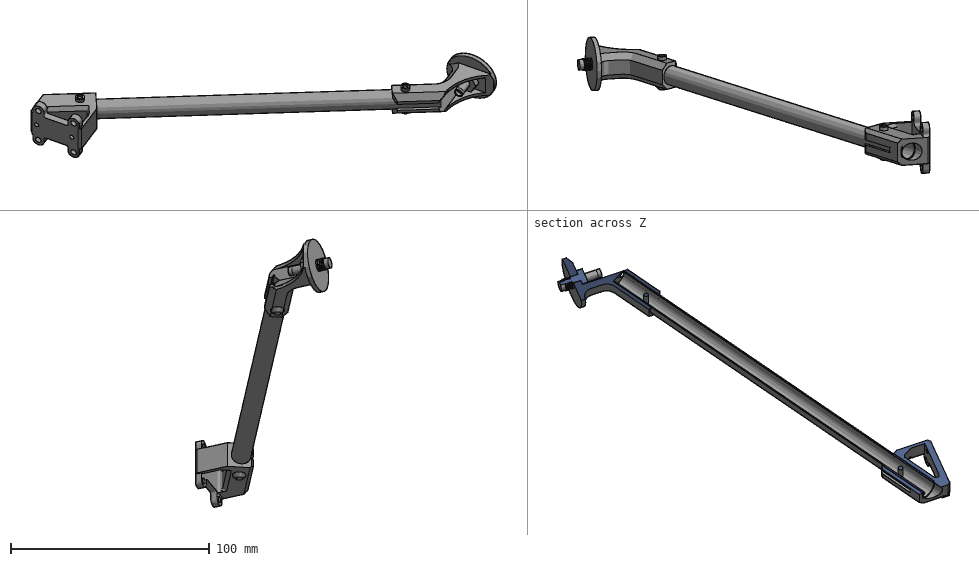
import cadquery as cq
import math


TILT = 30.0
AXIS_Y = 9.5
TUBE_LENGTH = 200.0
TUBE_RADIUS = 10.0 / 2
TUBE_BORE_RADIUS = 4.3
TUBE_START = 3.0

COS_TILT = math.cos(math.radians(TILT))
SIN_TILT = math.sin(math.radians(TILT))
TUBE_END = TUBE_START + TUBE_LENGTH

BODY_THICKNESS = 13.9
HALF_THICKNESS = BODY_THICKNESS / 2
CUT_THROUGH = 2 * BODY_THICKNESS

CLAMP_HEAD_RADIUS = 4.5 / 2
CLAMP_HEAD_HEIGHT = 1.85
CLAMP_SHANK_RADIUS = 1.27
CLAMP_SOCKET_WIDTH = 3.1
CLAMP_SOCKET_DEPTH = 1.2
BOSS_BASE_RADIUS = 3.5
BOSS_TIP_RADIUS = 1.66
BOSS_HEIGHT = 1.85
BRACKET_SCREW_STATION = 21.0
HEAD_SCREW_STATION = 185.1
CLAMP_STATIONS = (BRACKET_SCREW_STATION, HEAD_SCREW_STATION)

BRACKET_WIDTH = 28.8
BRACKET_HEIGHT = 28.8
BRACKET_MOUTH = 29.2
BRACKET_HALF_DEPTH = 6.5
BRACKET_CHAMFER = 2.0
BRACKET_SLIT_LENGTH = 19.5
BRACKET_SLIT_WIDTH = 2.7
LIP_HOLE_RADIUS = 4.5
PLATE_THICKNESS = 3.5
PLATE_EDGE_CHAMFER = 1.4
EAR_PITCH = 20.0
EAR_LEFT_X = 4.9
EAR_RADIUS = 3.1
EAR_TOP = 13.3
EAR_ROOT_FILLET = 1.2
EAR_HOLE_RADIUS = 1.5
PEG_LEFT_X = 4.0
PEG_HOLE_RADIUS = 1.2
PEG_HOLE_DEPTH = 4.9
WINDOW_LEFT_X = 6.5
WINDOW_RIGHT_X = 27.0
WINDOW_END_STATION = 24.0
WINDOW_BEND_FILLET = 3.0
WINDOW_CORNER_FILLET = 1.0

HEAD_MOUTH = 178.5
HEAD_HALF_DEPTH = 6.0
HEAD_CHAMFER = 3.1
HEAD_SLIT_WIDTH = 4.1
MOUTH_BEVEL_LENGTH = 2.5
MOUTH_BEVEL_DEPTH = 3.1
NECK_LEFT_X = 173.8
HEEL_X = 179.3
ELBOW_RADIUS = 6.7
FLARE_RADIUS = 4.7
HEEL_FILLET = 3.0
BACK_START_Y = 109.5
BACK_MIDDLE = (185.5, 124.0)
BACK_END_X = 195.3
DISC_RADIUS = 13.5
DISC_THICKNESS = 2.3
DISC_TOP_Y = 133.9
OVERALL_LENGTH = 195.7
DISC_X = OVERALL_LENGTH - DISC_RADIUS
KNOB_POCKET_WIDTH = 10.2
KNOB_POCKET_BOTTOM_Y = 101.8
KNOB_POCKET_TOP_Y = 129.5

THREAD_RADIUS = 3.1
THREAD_TIP_RADIUS = 2.7
THREAD_END_Y = 140.3
THREAD_TIP_LENGTH = 2.3
GROOVE_COUNT = 4
GROOVE_DEPTH = 0.4
KNOB_WIDTH = 10.0
KNOB_HEIGHT = 3.1
STEM_RADIUS = 4.5 / 2
STEM_BOTTOM_Y = 118.2
STEM_SOCKET_RADIUS = 1.66
STEM_SOCKET_DEPTH = 2.0

DISC_BOTTOM_Y = DISC_TOP_Y - DISC_THICKNESS
DISC_MIDDLE_Y = DISC_TOP_Y - DISC_THICKNESS / 2
FLARE_START_Y = DISC_BOTTOM_Y - FLARE_RADIUS


def on_axis(station, offset=0.0):
    """X and Y of a point at a station along the tube axis, offset towards the upper left."""
    return (
        station * COS_TILT - offset * SIN_TILT,
        AXIS_Y + station * SIN_TILT + offset * COS_TILT,
    )


def y_beside_axis(x, offset):
    """Y, at a given X, of the line parallel to the tube axis at the given offset."""
    return AXIS_Y + x * SIN_TILT / COS_TILT + offset / COS_TILT


def axial_rod(radius, start, end):
    """Cylinder along the tube axis."""
    plane = cq.Plane(origin=(*on_axis(start), 0), xDir=(0, 0, 1), normal=(COS_TILT, SIN_TILT, 0))
    return cq.Workplane(plane).circle(radius).extrude(end - start)


def tilted_box(start, end, low, high, width):
    """Box along the tube axis between two stations and two offsets, centred on Z = 0."""
    corners = [on_axis(start, low), on_axis(end, low), on_axis(end, high), on_axis(start, high)]
    return cq.Workplane("XY").polyline(corners).close().extrude(width / 2, both=True)


def upward_rod(x, z, radius, bottom, top):
    """Cylinder along Y."""
    plane = cq.Plane(origin=(x, bottom, z), xDir=(1, 0, 0), normal=(0, 1, 0))
    return cq.Workplane(plane).circle(radius).extrude(top - bottom)


def clamp_shank(station):
    """Screw shank along Z through the tube axis, ending level with the body's underside."""
    x, y = on_axis(station)
    return (
        cq.Workplane("XY", origin=(x, y, -HALF_THICKNESS))
        .circle(CLAMP_SHANK_RADIUS)
        .extrude(BODY_THICKNESS)
    )


def clamp_boss(station):
    """Conical boss under a clamp screw."""
    x, y = on_axis(station)
    cone = cq.Solid.makeCone(
        BOSS_BASE_RADIUS,
        BOSS_TIP_RADIUS,
        BOSS_HEIGHT,
        cq.Vector(x, y, -HALF_THICKNESS),
        cq.Vector(0, 0, -1),
    )
    return cq.Workplane(cone)


def make_clamp_screw(station):
    x, y = on_axis(station)
    head = (
        cq.Workplane("XY", origin=(x, y, HALF_THICKNESS))
        .circle(CLAMP_HEAD_RADIUS)
        .extrude(CLAMP_HEAD_HEIGHT)
        .faces(">Z")
        .workplane()
        .polygon(6, CLAMP_SOCKET_WIDTH)
        .cutBlind(-CLAMP_SOCKET_DEPTH)
    )
    return head.union(clamp_shank(station))


def make_tube():
    tube = axial_rod(TUBE_RADIUS, TUBE_START, TUBE_END)
    tube = tube.cut(axial_rod(TUBE_BORE_RADIUS, TUBE_START, TUBE_END))
    for station in CLAMP_STATIONS:
        tube = tube.cut(clamp_shank(station))
    return tube


def bracket_ears():
    """Foot plate with four rounded ears, their roots filleted."""
    plate = cq.Workplane("XY").box(
        BRACKET_WIDTH, PLATE_THICKNESS, BODY_THICKNESS, centered=(False, False, True)
    )
    ear_length = 2 * EAR_TOP
    for x in (EAR_LEFT_X, EAR_LEFT_X + EAR_PITCH):
        ear_pair = (
            cq.Workplane("XZ", origin=(x, PLATE_THICKNESS, 0))
            .slot2D(ear_length, 2 * EAR_RADIUS, 90)
            .extrude(PLATE_THICKNESS)
        )
        plate = plate.union(ear_pair)
    clear_of_corners = EAR_ROOT_FILLET / 2
    last_ear_x = EAR_LEFT_X + EAR_PITCH
    roots = cq.selectors.BoxSelector(
        (clear_of_corners, 0, -EAR_PITCH / 2), (last_ear_x, PLATE_THICKNESS, EAR_PITCH / 2)
    )
    return plate.edges("|Y").edges(roots).fillet(EAR_ROOT_FILLET)


def bracket_window():
    """Roughly triangular window under the tube housing, bevelled where it meets both flat sides."""
    peak = on_axis(WINDOW_END_STATION, -BRACKET_HALF_DEPTH)
    corners = [
        (WINDOW_LEFT_X, PLATE_THICKNESS),
        (WINDOW_RIGHT_X, PLATE_THICKNESS),
        (WINDOW_RIGHT_X, peak[1] - (WINDOW_RIGHT_X - peak[0]) * COS_TILT / SIN_TILT),
        peak,
        (WINDOW_LEFT_X, y_beside_axis(WINDOW_LEFT_X, -BRACKET_HALF_DEPTH)),
    ]
    window = cq.Workplane("XY").polyline(corners).close().extrude(HALF_THICKNESS, both=True)
    bend = cq.selectors.NearestToPointSelector((*corners[2], 0))
    window = window.edges("|Z").edges(bend).fillet(WINDOW_BEND_FILLET)
    window = window.edges("|Z").edges(">Y or <X").fillet(WINDOW_CORNER_FILLET)
    bevel_rise = BRACKET_CHAMFER / COS_TILT
    for side in (-1, 1):
        outline = window.faces(">Z" if side > 0 else "<Z").wires().val()
        inner_outline = outline.translate(cq.Vector(0, 0, -side * BRACKET_CHAMFER))
        sweep = cq.Vector(0, bevel_rise, side * BRACKET_CHAMFER)
        window = window.union(cq.Workplane(cq.Solid.extrudeLinear(inner_outline, [], sweep)))
    return window


def make_bracket():
    outline = [
        (0, 0),
        (BRACKET_WIDTH, 0),
        on_axis(BRACKET_MOUTH, (BRACKET_MOUTH * COS_TILT - BRACKET_WIDTH) / SIN_TILT),
        on_axis(BRACKET_MOUTH, BRACKET_HALF_DEPTH),
        (0, y_beside_axis(0, BRACKET_HALF_DEPTH)),
    ]
    body = cq.Workplane("XY").polyline(outline).close().extrude(HALF_THICKNESS, both=True)
    slope_middle = on_axis(BRACKET_MOUTH / 2, BRACKET_HALF_DEPTH)
    slope_face = body.faces(cq.selectors.NearestToPointSelector((*slope_middle, 0)))
    body = slope_face.edges("not |Z").chamfer(BRACKET_CHAMFER)

    above_top = cq.Workplane("XY").box(
        BRACKET_WIDTH, BRACKET_HEIGHT, CUT_THROUGH, centered=(False, False, True)
    )
    body = body.cut(above_top.translate((0, BRACKET_HEIGHT, 0)))

    body = body.cut(bracket_window()).union(bracket_ears())

    for corner_x, inward in ((0, 1), (BRACKET_WIDTH, -1)):
        bevel = [
            (corner_x, 0),
            (corner_x + inward * PLATE_EDGE_CHAMFER, 0),
            (corner_x, PLATE_EDGE_CHAMFER),
        ]
        body = body.cut(cq.Workplane("XY").polyline(bevel).close().extrude(CUT_THROUGH, both=True))

    for x in (EAR_LEFT_X, EAR_LEFT_X + EAR_PITCH):
        for z in (-EAR_PITCH / 2, EAR_PITCH / 2):
            body = body.cut(upward_rod(x, z, EAR_HOLE_RADIUS, 0, PLATE_THICKNESS))
    for x in (PEG_LEFT_X, PEG_LEFT_X + EAR_PITCH):
        body = body.cut(upward_rod(x, 0, PEG_HOLE_RADIUS, 0, PEG_HOLE_DEPTH))

    body = body.union(clamp_boss(BRACKET_SCREW_STATION))
    body = body.cut(axial_rod(LIP_HOLE_RADIUS, -BRACKET_HALF_DEPTH, BRACKET_MOUTH))
    body = body.cut(axial_rod(TUBE_RADIUS, TUBE_START, BRACKET_MOUTH))
    slit_start = BRACKET_MOUTH - BRACKET_SLIT_LENGTH
    slit = tilted_box(slit_start, BRACKET_MOUTH, 0, 2 * BRACKET_HALF_DEPTH, BRACKET_SLIT_WIDTH)
    return body.cut(slit).cut(clamp_shank(BRACKET_SCREW_STATION))


def blend_point(radius, start_y, turn):
    """Point on an arc that leaves the neck's left side at start_y and bends left."""
    return (
        NECK_LEFT_X - radius * (1 - math.cos(turn)),
        start_y + radius * math.sin(turn),
    )


def head_arm():
    """Clamp sleeve, elbow and flared neck, with chamfers along the sleeve and the left of the neck."""
    elbow_turn = math.radians(90 - TILT)
    elbow_top_y = y_beside_axis(NECK_LEFT_X, HEAD_HALF_DEPTH) + ELBOW_RADIUS * math.tan(elbow_turn / 2)
    quarter_turn = math.radians(90)

    def elbow_point(turn):
        return blend_point(ELBOW_RADIUS, elbow_top_y, -turn)

    def flare_point(turn):
        return blend_point(FLARE_RADIUS, FLARE_START_Y, turn)

    surplus_top_y = DISC_TOP_Y + HEAD_CHAMFER
    heel_y = y_beside_axis(HEEL_X, -HEAD_HALF_DEPTH)
    arm = (
        cq.Workplane("XY")
        .moveTo(*on_axis(HEAD_MOUTH, -HEAD_HALF_DEPTH))
        .lineTo(HEEL_X, heel_y)
        .lineTo(HEEL_X, BACK_START_Y)
        .threePointArc(BACK_MIDDLE, (BACK_END_X, DISC_BOTTOM_Y))
        .lineTo(BACK_END_X, surplus_top_y)
        .lineTo(NECK_LEFT_X - FLARE_RADIUS, surplus_top_y)
        .lineTo(NECK_LEFT_X - FLARE_RADIUS, DISC_BOTTOM_Y)
        .threePointArc(flare_point(quarter_turn / 2), flare_point(0))
        .lineTo(*elbow_point(0))
        .threePointArc(elbow_point(elbow_turn / 2), elbow_point(elbow_turn))
        .lineTo(*on_axis(HEAD_MOUTH, HEAD_HALF_DEPTH))
        .close()
        .extrude(HALF_THICKNESS, both=True)
    )

    left_rim_middles = [
        on_axis((HEAD_MOUTH + TUBE_END) / 2, HEAD_HALF_DEPTH),
        elbow_point(elbow_turn / 2),
        (NECK_LEFT_X, (elbow_top_y + FLARE_START_Y) / 2),
        flare_point(quarter_turn / 2),
    ]
    lower_rim_middle = on_axis((HEAD_MOUTH + TUBE_END) / 2, -HEAD_HALF_DEPTH)
    rims = []
    for x, y in [*left_rim_middles, lower_rim_middle]:
        for z in (-HALF_THICKNESS, HALF_THICKNESS):
            rim = cq.selectors.NearestToPointSelector((x, y, z))
            rims.append(arm.edges("#Z").edges(rim).val())
    arm = arm.newObject(rims).chamfer(HEAD_CHAMFER)
    heel = cq.selectors.NearestToPointSelector((HEEL_X, heel_y, 0))
    arm = arm.edges("|Z").edges(heel).fillet(HEEL_FILLET)

    neck_top = cq.Workplane("XY").box(
        4 * DISC_RADIUS, BODY_THICKNESS, CUT_THROUGH, centered=(True, False, True)
    ).translate((DISC_X, FLARE_START_Y, 0))
    arm = arm.cut(neck_top.cut(upward_rod(DISC_X, 0, DISC_RADIUS, 0, DISC_MIDDLE_Y)))

    bevel = [
        on_axis(HEAD_MOUTH, MOUTH_BEVEL_DEPTH - HEAD_HALF_DEPTH),
        on_axis(HEAD_MOUTH, -HEAD_HALF_DEPTH),
        on_axis(HEAD_MOUTH + MOUTH_BEVEL_LENGTH, -HEAD_HALF_DEPTH),
    ]
    return arm.cut(cq.Workplane("XY").polyline(bevel).close().extrude(CUT_THROUGH, both=True))


def hexagonal_block(width, height):
    """Hexagonal block of a given width across flats, hanging from the top of the knob pocket."""
    plane = cq.Plane(origin=(DISC_X, KNOB_POCKET_TOP_Y, 0), xDir=(1, 0, 0), normal=(0, -1, 0))
    return cq.Workplane(plane).polygon(6, width / math.cos(math.pi / 6)).extrude(height)


def knob_pocket():
    """Downward-open pocket for the camera screw's knob, open to the curved back."""
    height = KNOB_POCKET_TOP_Y - KNOB_POCKET_BOTTOM_Y
    bay = cq.Workplane("XY").box(DISC_RADIUS, height, KNOB_POCKET_WIDTH, centered=(False, False, True))
    bay = bay.translate((DISC_X, KNOB_POCKET_BOTTOM_Y, 0))
    return hexagonal_block(KNOB_POCKET_WIDTH, height).union(bay)


def make_head():
    head = head_arm().union(upward_rod(DISC_X, 0, DISC_RADIUS, DISC_BOTTOM_Y, DISC_TOP_Y))
    head = head.cut(knob_pocket())
    head = head.cut(upward_rod(DISC_X, 0, THREAD_RADIUS, KNOB_POCKET_TOP_Y, DISC_TOP_Y))
    head = head.union(clamp_boss(HEAD_SCREW_STATION))
    head = head.cut(axial_rod(TUBE_RADIUS, HEAD_MOUTH, TUBE_END))
    slit = tilted_box(HEAD_MOUTH, TUBE_END, -2 * HEAD_HALF_DEPTH, 0, HEAD_SLIT_WIDTH)
    return head.cut(slit).cut(clamp_shank(HEAD_SCREW_STATION))


def make_camera_screw():
    stem = upward_rod(DISC_X, 0, STEM_RADIUS, STEM_BOTTOM_Y, KNOB_POCKET_TOP_Y)
    knob = hexagonal_block(KNOB_WIDTH, KNOB_HEIGHT)
    thread_top = THREAD_END_Y - THREAD_TIP_LENGTH
    screw = stem.union(knob)
    screw = screw.union(upward_rod(DISC_X, 0, THREAD_RADIUS, KNOB_POCKET_TOP_Y, thread_top))
    tip = upward_rod(DISC_X, 0, THREAD_TIP_RADIUS, thread_top, THREAD_END_Y)
    screw = screw.union(tip)
    groove_pitch = (thread_top - DISC_TOP_Y) / GROOVE_COUNT
    for index in range(GROOVE_COUNT):
        bottom = DISC_TOP_Y + index * groove_pitch
        profile = [
            (DISC_X + THREAD_RADIUS, bottom),
            (DISC_X + THREAD_RADIUS - GROOVE_DEPTH, bottom + groove_pitch / 2),
            (DISC_X + THREAD_RADIUS, bottom + groove_pitch),
        ]
        groove = cq.Workplane("XY").polyline(profile).close().revolve(360, (DISC_X, 0, 0), (DISC_X, 1, 0))
        screw = screw.cut(groove)
    socket_end = STEM_BOTTOM_Y + STEM_SOCKET_DEPTH
    return screw.cut(upward_rod(DISC_X, 0, STEM_SOCKET_RADIUS, STEM_BOTTOM_Y, socket_end))


bracket = make_bracket()
tube = make_tube()
head = make_head()
camera_screw = make_camera_screw()
clamp_screws = [make_clamp_screw(station).val() for station in CLAMP_STATIONS]

result = cq.Compound.makeCompound(
    [bracket.val(), tube.val(), head.val(), camera_screw.val(), *clamp_screws]
)